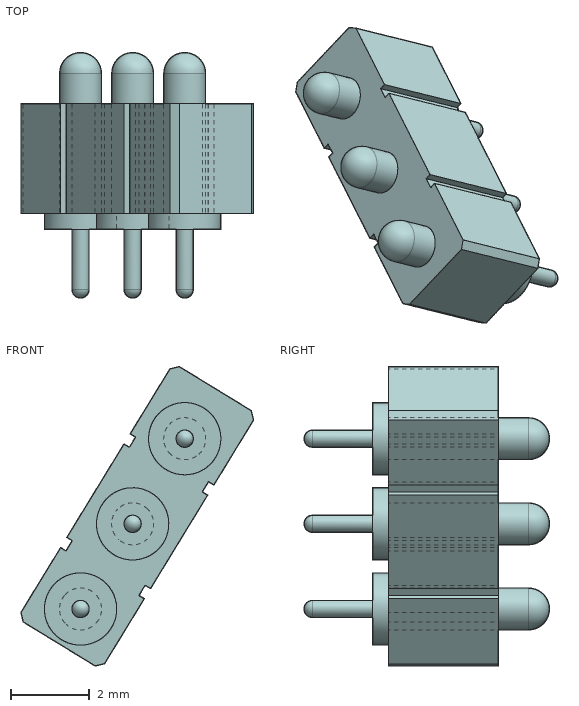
import cadquery as cq


pitch = 2.54
pin_count = 3
strip_tilt = 58.55
row_offset = -0.225

housing_length = pin_count * pitch
housing_width = 2.5
housing_depth = 2.8
corner_chamfer = 0.175
notch_width = 0.3
notch_depth = 0.16
notch_spacing = 3.09

tail_diameter = 0.44
tail_length = 1.75
flange_diameter = 1.84
flange_thickness = 0.4
contact_diameter = 1.07
contact_length = 1.3

front_y = 0
back_y = front_y + housing_depth
flange_front_y = front_y - flange_thickness
tail_tip_y = flange_front_y - tail_length
contact_tip_y = back_y + contact_length

pin_positions = [row_offset + (i - (pin_count - 1) / 2) * pitch for i in range(pin_count)]


def tilt_strip(body):
    """Turn a body lying along X so the strip rises from +X toward +Z."""
    return body.rotate((0, 0, 0), (0, 1, 0), -strip_tilt)


def make_housing():
    block = (
        cq.Workplane("XY")
        .box(housing_length, housing_depth, housing_width)
        .translate((0, (front_y + back_y) / 2, 0))
        .edges("|Y")
        .chamfer(corner_chamfer)
    )

    front_plane = cq.Workplane("XZ", origin=(0, front_y, 0))

    notches = (
        front_plane
        .rarray(notch_spacing, housing_width, 2, 2)
        .rect(notch_width, 2 * notch_depth)
        .extrude(-housing_depth)
    )
    bores = (
        front_plane
        .pushPoints([(x, 0) for x in pin_positions])
        .circle(contact_diameter / 2)
        .extrude(-housing_depth)
    )
    return tilt_strip(block.cut(notches).cut(bores))


def make_pin(x):
    """Revolve a pin: round-ended tail, flange on the front face, domed contact."""
    tail_radius = tail_diameter / 2
    flange_radius = flange_diameter / 2
    contact_radius = contact_diameter / 2
    diagonal = 0.5 ** 0.5
    tail_dome_y = tail_tip_y + tail_radius
    contact_dome_y = contact_tip_y - contact_radius

    profile = (
        cq.Workplane("XY")
        .moveTo(0, tail_tip_y)
        .threePointArc(
            (tail_radius * diagonal, tail_dome_y - tail_radius * diagonal),
            (tail_radius, tail_dome_y),
        )
        .lineTo(tail_radius, flange_front_y)
        .lineTo(flange_radius, flange_front_y)
        .lineTo(flange_radius, front_y)
        .lineTo(contact_radius, front_y)
        .lineTo(contact_radius, contact_dome_y)
        .threePointArc(
            (contact_radius * diagonal, contact_dome_y + contact_radius * diagonal),
            (0, contact_tip_y),
        )
        .close()
    )
    pin = profile.revolve(360, (0, 0, 0), (0, 1, 0))
    return tilt_strip(pin.translate((x, 0, 0)))


housing = make_housing()
pins = [make_pin(x) for x in pin_positions]

result = cq.Compound.makeCompound([housing.val(), *[pin.val() for pin in pins]])